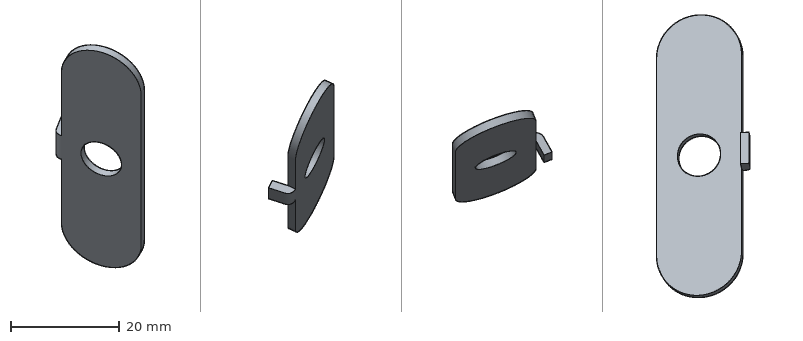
import cadquery as cq
import math

plate_width = 16.0
plate_height = 54.0
thickness = 1.6
hole_diameter = 8.1

tab_height = 6.0
tab_overhang = 2.0
overall_depth = 4.6

tab_rise = overall_depth - thickness
lean = math.acos(thickness / math.hypot(tab_rise, tab_overhang)) - math.atan2(tab_rise, tab_overhang)


def make_plate():
    """Flat obround plate with a central through hole."""
    return (
        cq.Workplane("XZ")
        .slot2D(plate_height, plate_width, 90)
        .circle(hole_diameter / 2)
        .extrude(-thickness)
    )


def make_tab():
    """Leaning tab whose outer bend is centred on the plate's rear edge."""
    edge_x = -plate_width / 2

    def bend_point(angle):
        return (edge_x - thickness * math.cos(angle), thickness - thickness * math.sin(angle))

    bend_end = lean
    bend_middle = (lean + math.pi / 2) / 2
    return (
        cq.Workplane("XY")
        .workplane(offset=-tab_height / 2)
        .moveTo(edge_x, thickness)
        .lineTo(edge_x, 0)
        .threePointArc(bend_point(bend_middle), bend_point(bend_end))
        .lineTo(edge_x - tab_overhang, overall_depth)
        .lineTo(edge_x - tab_rise * math.tan(lean), overall_depth)
        .close()
        .extrude(tab_height)
    )


result = make_plate().union(make_tab())